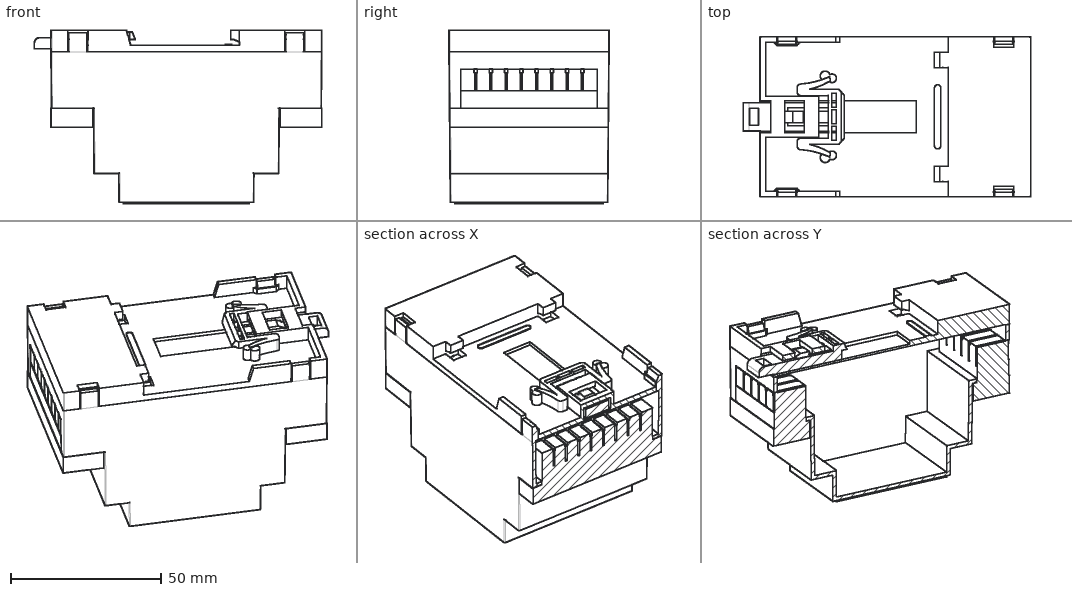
import cadquery as cq

LENGTH = 90.1
WIDTH = 53.3
TOP_Z = 57.7
FLOOR_Z = 52.7
SEAM_Z = 50.5
DRAFT = 0.5
HALF_LENGTH = LENGTH / 2
HALF_WIDTH = WIDTH / 2

SHOULDER_Z = 31.75
STEP_Z = 9.9
FACE_Z = 0.4
MIDDLE_LENGTH = 62.2
TIERS = [(LENGTH, SHOULDER_Z), (MIDDLE_LENGTH, STEP_Z), (45.7, FACE_Z)]
EDGE_RADIUS = 0.3
WALL = 1.5

HOOK_X = 36.1
HOOK_LENGTH = 5.9
HOOK_TOP_Z = 56.7
HOOK_TOP_DEPTH = 1.5
HOOK_ROOT_DEPTH = 2.5
POCKET_LENGTH = 6.7
POCKET_DEPTH = 2.6
LEDGE_Z = 54.6
LEDGE_DEPTH = 3.0
LEDGE_LENGTH = 8.8
WIDE_POCKET_DEPTH = 3.5
WIDE_POCKET_Z = 56.0

TERMINAL_BOTTOM_Z = 25.3
TERMINAL_WIDTH = 52.6
WINDOW_WIDTH = 45.4
WINDOW_TOP_Z = 44.7
PLUG_DEPTH = 12.4
COMB_Z = 37.6
PLUG_INSET = 0.2
COMB_INSET = 0.4
SLIT_COUNT = 8
SLIT_PITCH = 5.1
SLIT_WIDTH = 0.5
SLIT_HEAD_WIDTH = 1.0
SLIT_HEAD_HEIGHT = 1.1

PANEL_LENGTH = 42.0
PANEL_WIDTH = 49.25

RIM_END_WALL = 1.9
RIM_SIDE_WALL = 1.8
RIM_TOP_END_X = -19.9
RIM_FOOT_END_X = -18.5
BRIDGE_END_X = -25.4
BRIDGE_WIDTH = 13.6
CHANNEL_Z = 51.45
CHANNEL_WIDTH = 10.7
CHANNEL_END_X = 6.9
PASSAGE_TOP_Z = 55.7
HANDLE_NOTCH_LENGTH = 3.5
HANDLE_NOTCH_WIDTH = 10.5
BRIDGE_WINDOW = (-36.7, -30.3)
JAW_X = 17.6
TOOTH_X = 14.7
TOOTH_Y = 18.9
TOOTH_WIDTH = 5.2
TOOTH_TIP_LENGTH = 1.0
TOOTH_TIP_Z = 54.5
TOOTH_ROOT_Z = 53.7
TOOTH_HOLE_X = 13.0
STOP_RIB_X = 14.1
STOP_RIB_LENGTH = 21.3
STOP_RIB_WIDTH = 2.1
STOP_RIB_HEIGHT = 0.3

HANDLE_REACH = 5.5
BAR_WIDTH = 9.5
BAR_TOP_Z = 55.2
HANDLE_RADIUS = 1.9
HANDLE_HOLE = (-48.5, -45.5)
HANDLE_HOLE_WIDTH = 5.5
TONGUE_START_X = -35.8
CATCH_START_X = -36.7
TONGUE_WIDTH = 3.8
TONGUE_SLIT_WIDTH = 1.05
CATCH_SLOPE_END_X = -34.0
CATCH_END_X = -30.7
CATCH_TOP_Z = 56.3
HEAD_Z = 54.5
HEAD_TOP_Z = 57.1
HEAD_INNER_X = -22.3
HEAD_CORNER_X = -18.8
NOSE_X = -16.9
NOSE_TOP_X = -18.0
NOSE_HALF_WIDTH = 7.1
HEAD_HALF_WIDTH = 9.2
HEAD_SLOTS_X = (-21.1, -19.7)
HEAD_SLOT_WIDTH = 4.7
HEAD_SLOT_PITCH = 5.45
ARM_START_X = -32.6
ARM_ROOT_X = -28.5
ARM_INNER_Y = 7.1
ARM_OUTER_Y = 10.9
ARM_CORNER = 1.1
ARM_OUTER_MIDDLE = (-26.3, 11.8)
ARM_OUTER_END = (-21.8, 13.4)
ARM_INNER_END = (-21.6, 12.0)
ARM_INNER_MIDDLE = (-24.9, 10.3)
PAD_TOP_Z = 56.8
ARM_PADS = [(-23.3, 13.6, 1.6), (-21.0, 12.8, 1.4)]


def box(x_range, y_range, z_range):
    """Rectangular block between the given limits."""
    (x0, x1), (y0, y1), (z0, z1) = x_range, y_range, z_range
    return cq.Workplane("XY").box(x1 - x0, y1 - y0, z1 - z0, centered=False).translate((x0, y0, z0))


def centred(width):
    """Limits of a width centred on zero."""
    return (-width / 2, width / 2)


def at_both_sides(shape):
    """A shape and its mirror image across the XZ plane."""
    return shape.union(shape.mirror("XZ"))


def at_both_ends(shape):
    """A shape and its mirror image across the YZ plane."""
    return shape.union(shape.mirror("YZ"))


def side_block(x, length, depth, z_range):
    """Block of the given length at x, reaching inward from the -Y side face."""
    return box((x - length / 2, x + length / 2), (-HALF_WIDTH, depth - HALF_WIDTH), z_range)


def snap_hook():
    """Hook at the -X, -Y corner, its inner edge sloped for snapping in."""
    return (
        cq.Workplane("YZ", origin=(-HOOK_X - HOOK_LENGTH / 2, -HALF_WIDTH, 0))
        .moveTo(0, SEAM_Z)
        .lineTo(HOOK_ROOT_DEPTH, SEAM_Z)
        .lineTo(HOOK_ROOT_DEPTH, LEDGE_Z)
        .lineTo(HOOK_TOP_DEPTH, HOOK_TOP_Z)
        .lineTo(0, HOOK_TOP_Z)
        .close()
        .extrude(HOOK_LENGTH)
    )


def make_housing():
    """Hollow stepped shell, open towards the base, with a terminal opening at each end."""
    body = cq.Workplane("XY")
    cavity = cq.Workplane("XY")
    for length, bottom_z in TIERS:
        height = SEAM_Z - bottom_z
        tier = (
            cq.Workplane("XY", origin=(0, 0, SEAM_Z))
            .rect(length, WIDTH)
            .extrude(-height, taper=DRAFT)
        )
        hollow = (
            cq.Workplane("XY", origin=(0, 0, SEAM_Z))
            .rect(length - 2 * WALL, WIDTH - 2 * WALL)
            .extrude(-(height - WALL), taper=DRAFT)
        )
        rounded = "not (<Z or >Z)" if bottom_z == SHOULDER_Z else "not >Z"
        body = body.union(tier.edges(rounded).fillet(EDGE_RADIUS))
        cavity = cavity.union(hollow)
    opening = box(
        (-HALF_LENGTH, -HALF_LENGTH + PLUG_DEPTH), centred(WINDOW_WIDTH), (SHOULDER_Z, WINDOW_TOP_Z)
    )
    hooks = at_both_ends(at_both_sides(snap_hook()))
    return body.cut(cavity).cut(at_both_ends(opening)).union(hooks)


def make_terminal():
    """Terminal block at the -X end: an outer bar, and a plug with a slotted comb above it."""
    plug_end_x = -HALF_LENGTH + PLUG_DEPTH
    bar = box(
        (-HALF_LENGTH, -MIDDLE_LENGTH / 2),
        centred(TERMINAL_WIDTH),
        (TERMINAL_BOTTOM_Z, SHOULDER_Z),
    )
    plug = box((-HALF_LENGTH + PLUG_INSET, plug_end_x), centred(WINDOW_WIDTH), (SHOULDER_Z, COMB_Z))
    comb = box((-HALF_LENGTH + COMB_INSET, plug_end_x), centred(WINDOW_WIDTH), (COMB_Z, WINDOW_TOP_Z))
    terminal = bar.union(plug).union(comb)
    x_range = (-HALF_LENGTH, plug_end_x)
    slit = box(x_range, centred(SLIT_WIDTH), (COMB_Z, WINDOW_TOP_Z))
    slit_head = box(x_range, centred(SLIT_HEAD_WIDTH), (WINDOW_TOP_Z - SLIT_HEAD_HEIGHT, WINDOW_TOP_Z))
    slit = slit.union(slit_head)
    for index in range(SLIT_COUNT):
        y = (index - (SLIT_COUNT - 1) / 2) * SLIT_PITCH
        terminal = terminal.cut(slit.translate((0, y, 0)))
    return terminal


def make_panel():
    """Thin plate on the front face of the housing."""
    return box(centred(PANEL_LENGTH), centred(PANEL_WIDTH), (0, FACE_Z))


def rim():
    """End wall and two side walls around the clip, the side walls ending in a slope."""
    end_wall = box(
        (-HALF_LENGTH, -HALF_LENGTH + RIM_END_WALL), centred(WIDTH), (FLOOR_Z, TOP_Z)
    )
    side_wall = (
        cq.Workplane("XZ", origin=(0, -HALF_WIDTH, 0))
        .moveTo(-HALF_LENGTH, FLOOR_Z)
        .lineTo(RIM_FOOT_END_X, FLOOR_Z)
        .lineTo(RIM_TOP_END_X, TOP_Z)
        .lineTo(-HALF_LENGTH, TOP_Z)
        .close()
        .extrude(-RIM_SIDE_WALL)
    )
    return end_wall.union(at_both_sides(side_wall))


def hook_ledges():
    """Low ledges behind the snap hooks, chamfered where they run into the rim."""
    ledge = side_block(-HOOK_X, LEDGE_LENGTH, LEDGE_DEPTH, (FLOOR_Z, LEDGE_Z))
    ledge = ledge.edges("|Z and >Y").chamfer(LEDGE_DEPTH - RIM_SIDE_WALL)
    return at_both_sides(ledge)


def hook_pockets():
    """Slots that let the snap hooks through, widened at the top in the fixed jaw."""
    slot = side_block(-HOOK_X, POCKET_LENGTH, POCKET_DEPTH, (SEAM_Z, TOP_Z))
    wide = side_block(HOOK_X, POCKET_LENGTH, WIDE_POCKET_DEPTH, (WIDE_POCKET_Z, TOP_Z))
    return at_both_sides(at_both_ends(slot).union(wide))


def fixed_jaw():
    """Raised block that holds one edge of the rail with two teeth."""
    jaw = box((JAW_X, HALF_LENGTH), centred(WIDTH), (FLOOR_Z, TOP_Z))
    tooth = (
        cq.Workplane("XZ", origin=(0, TOOTH_Y + TOOTH_WIDTH / 2, 0))
        .moveTo(JAW_X, TOP_Z)
        .lineTo(TOOTH_X, TOP_Z)
        .lineTo(TOOTH_X, TOOTH_TIP_Z)
        .lineTo(TOOTH_X + TOOTH_TIP_LENGTH, TOOTH_TIP_Z)
        .lineTo(JAW_X, TOOTH_ROOT_Z)
        .close()
        .extrude(TOOTH_WIDTH)
    )
    return jaw.union(at_both_sides(tooth))


def tooth_holes():
    """Holes through the floor under the teeth."""
    y_range = (TOOTH_Y - TOOTH_WIDTH / 2, TOOTH_Y + TOOTH_WIDTH / 2)
    hole = box((TOOTH_HOLE_X, JAW_X), y_range, (SEAM_Z, FLOOR_Z))
    return at_both_sides(hole)


def stop_rib():
    """Low rounded rib in front of the fixed jaw."""
    return (
        cq.Workplane("XY", origin=(STOP_RIB_X, 0, FLOOR_Z))
        .slot2D(STOP_RIB_LENGTH, STOP_RIB_WIDTH, angle=90)
        .extrude(STOP_RIB_HEIGHT)
    )


def clip_way():
    """Channel for the clip, its passage under the bridge, and the openings above that."""
    channel = box((-HALF_LENGTH, CHANNEL_END_X), centred(CHANNEL_WIDTH), (CHANNEL_Z, FLOOR_Z))
    passage = box((-HALF_LENGTH, BRIDGE_END_X), centred(CHANNEL_WIDTH), (FLOOR_Z, PASSAGE_TOP_Z))
    notch = box(
        (-HALF_LENGTH, -HALF_LENGTH + HANDLE_NOTCH_LENGTH),
        centred(HANDLE_NOTCH_WIDTH),
        (PASSAGE_TOP_Z, TOP_Z),
    )
    window = box(BRIDGE_WINDOW, centred(CHANNEL_WIDTH), (PASSAGE_TOP_Z, TOP_Z))
    return channel.union(passage).union(notch).union(window)


def make_base():
    """Plate that closes the housing and carries the rail mount."""
    plate = box(centred(LENGTH), centred(WIDTH), (SEAM_Z, FLOOR_Z))
    bridge = box((-HALF_LENGTH, BRIDGE_END_X), centred(BRIDGE_WIDTH), (FLOOR_Z, TOP_Z))
    base = plate.union(rim()).union(bridge).union(hook_ledges())
    base = base.union(fixed_jaw())
    base = base.edges("|Z and (<X or >X)").fillet(EDGE_RADIUS)
    base = base.union(stop_rib())
    return base.cut(hook_pockets()).cut(tooth_holes()).cut(clip_way())


def clip_bar():
    """Sliding bar with a rounded handle, a tongue between two slits, and a catch on the tongue."""
    handle_x = -HALF_LENGTH - HANDLE_REACH
    bar = box((handle_x, HEAD_CORNER_X), centred(BAR_WIDTH), (CHANNEL_Z, BAR_TOP_Z))
    bar = bar.edges("|Y and <X and >Z").fillet(HANDLE_RADIUS)
    bar = bar.cut(box(HANDLE_HOLE, centred(HANDLE_HOLE_WIDTH), (CHANNEL_Z, BAR_TOP_Z)))
    slit_y = (TONGUE_WIDTH / 2, TONGUE_WIDTH / 2 + TONGUE_SLIT_WIDTH)
    slit = box((TONGUE_START_X, HEAD_INNER_X), slit_y, (CHANNEL_Z, BAR_TOP_Z))
    catch = (
        cq.Workplane("XZ", origin=(0, TONGUE_WIDTH / 2, 0))
        .moveTo(CATCH_START_X, BAR_TOP_Z)
        .lineTo(CATCH_SLOPE_END_X, CATCH_TOP_Z)
        .lineTo(CATCH_END_X, CATCH_TOP_Z)
        .lineTo(CATCH_END_X, BAR_TOP_Z)
        .close()
        .extrude(TONGUE_WIDTH)
    )
    return bar.cut(at_both_sides(slit)).union(catch)


def clip_head():
    """Head that hooks over the rail edge, with a sloped nose and three slots."""
    height = HEAD_TOP_Z - HEAD_Z
    head = (
        cq.Workplane("XY", origin=(0, 0, HEAD_Z))
        .moveTo(HEAD_INNER_X, -HEAD_HALF_WIDTH)
        .lineTo(HEAD_CORNER_X, -HEAD_HALF_WIDTH)
        .lineTo(NOSE_X, -NOSE_HALF_WIDTH)
        .lineTo(NOSE_X, NOSE_HALF_WIDTH)
        .lineTo(HEAD_CORNER_X, HEAD_HALF_WIDTH)
        .lineTo(HEAD_INNER_X, HEAD_HALF_WIDTH)
        .close()
        .extrude(height)
    )
    nose_slope = (
        cq.Workplane("XZ", origin=(0, HEAD_HALF_WIDTH, 0))
        .moveTo(NOSE_TOP_X, HEAD_TOP_Z)
        .lineTo(NOSE_X, HEAD_TOP_Z)
        .lineTo(NOSE_X, HEAD_Z)
        .close()
        .extrude(2 * HEAD_HALF_WIDTH)
    )
    head = head.cut(nose_slope)
    for row in (-1, 0, 1):
        slot = box(HEAD_SLOTS_X, centred(HEAD_SLOT_WIDTH), (CHANNEL_Z, HEAD_TOP_Z))
        head = head.cut(slot.translate((0, row * HEAD_SLOT_PITCH, 0)))
    return head


def spring_arm():
    """Curved arm on the +Y side that starts beside the head and ends in two round pads."""
    arm = (
        cq.Workplane("XY", origin=(0, 0, FLOOR_Z))
        .moveTo(HEAD_INNER_X, ARM_INNER_Y)
        .lineTo(ARM_START_X + ARM_CORNER, ARM_INNER_Y)
        .radiusArc((ARM_START_X, ARM_INNER_Y + ARM_CORNER), ARM_CORNER)
        .lineTo(ARM_START_X, ARM_OUTER_Y - ARM_CORNER)
        .radiusArc((ARM_START_X + ARM_CORNER, ARM_OUTER_Y), ARM_CORNER)
        .threePointArc(ARM_OUTER_MIDDLE, ARM_OUTER_END)
        .lineTo(*ARM_INNER_END)
        .threePointArc(ARM_INNER_MIDDLE, (ARM_ROOT_X, HEAD_HALF_WIDTH))
        .lineTo(HEAD_INNER_X, HEAD_HALF_WIDTH)
        .close()
        .extrude(HEAD_TOP_Z - FLOOR_Z)
    )
    for x, y, radius in ARM_PADS:
        pad = cq.Workplane("XY", origin=(x, y, FLOOR_Z)).circle(radius).extrude(PAD_TOP_Z - FLOOR_Z)
        arm = arm.union(pad)
    return arm


def make_clip():
    """Rail clip: bar, head and a spring arm on each side."""
    return clip_bar().union(clip_head()).union(at_both_sides(spring_arm()))


housing = make_housing()
base = make_base()
clip = make_clip()
panel = make_panel()
terminals = [make_terminal()]
terminals.append(terminals[0].mirror("YZ"))
bodies = [housing, base, clip, panel, *terminals]

result = cq.Compound.makeCompound([body.solids().val() for body in bodies])